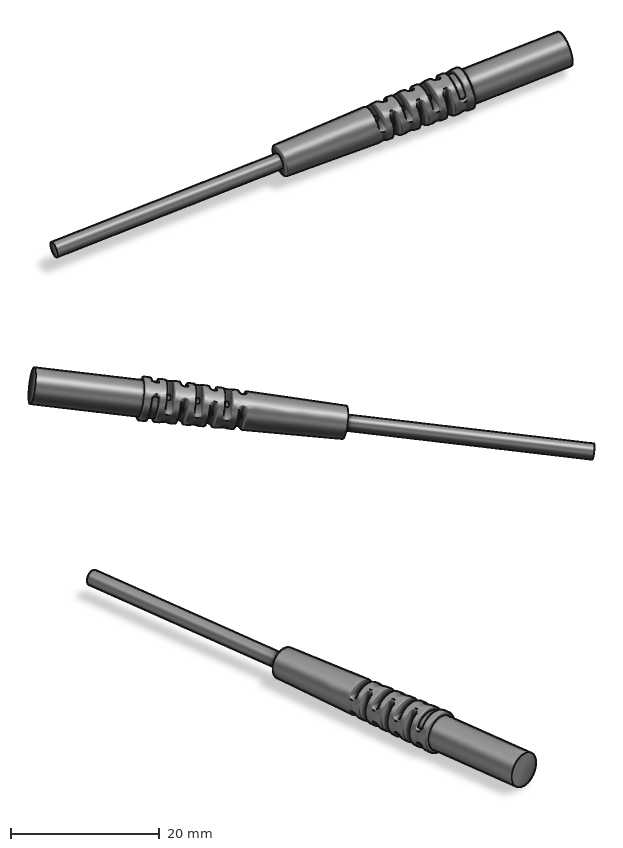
import cadquery as cq

total_length = 77.0

sleeve_diameter = 5.0
sleeve_length = 16.95

cable_diameter = 2.2
cable_length = total_length - sleeve_length

boot_start = 14.85
boot_length = 28.1
boot_rear_diameter = 6.0
boot_front_diameter = 4.55
edge_radius = 0.2

slot_count = 7
slot_pitch = 2.0
first_slot_offset = 1.6
slot_width = 1.0
slot_floor_distance = 1.0


def forward_cylinder(diameter, start, length):
    """Round bar along the part's axis, its rear end at `start`."""
    plane = cq.Workplane("XZ", origin=(0, -start, 0))
    return plane.circle(diameter / 2).extrude(length)


def make_sleeve():
    """Round body whose front end sits in the boot."""
    return forward_cylinder(sleeve_diameter, 0, sleeve_length)


def make_cable():
    """Round cable from the sleeve's front face to the free end."""
    return forward_cylinder(cable_diameter, sleeve_length, cable_length)


def make_slot_pair(position, turn):
    """Two opposite U-shaped cutters at one position, turned about the part's axis."""
    half_width = slot_width / 2
    reach = boot_rear_diameter
    cutter = (
        cq.Workplane("YZ")
        .moveTo(-position - half_width, reach)
        .lineTo(-position - half_width, slot_floor_distance + half_width)
        .threePointArc(
            (-position, slot_floor_distance),
            (-position + half_width, slot_floor_distance + half_width),
        )
        .lineTo(-position + half_width, reach)
        .close()
        .extrude(reach, both=True)
    )
    opposite = cutter.mirror("XY")
    return cutter.union(opposite).rotate((0, 0, 0), (0, 1, 0), turn)


def make_boot():
    """Tapered boot with flex slots, bored to fit the sleeve and the cable."""
    rear = -boot_start
    front = rear - boot_length
    boot = (
        cq.Workplane("XY")
        .polyline(
            [
                (0, rear),
                (-boot_rear_diameter / 2, rear),
                (-boot_front_diameter / 2, front),
                (0, front),
            ]
        )
        .close()
        .revolve(360, (0, 0, 0), (0, 1, 0))
    )

    for index in range(slot_count):
        position = boot_start + first_slot_offset + index * slot_pitch
        turn = 90 * (index % 2)
        boot = boot.cut(make_slot_pair(position, turn))

    boot = boot.faces("%CONE").edges("not(%LINE)").fillet(edge_radius)

    boot = boot.cut(make_sleeve())
    return boot.cut(make_cable()).solids()


sleeve = make_sleeve()
cable = make_cable()
boot = make_boot()

result = cq.Compound.makeCompound([sleeve.val(), cable.val(), boot.val()])